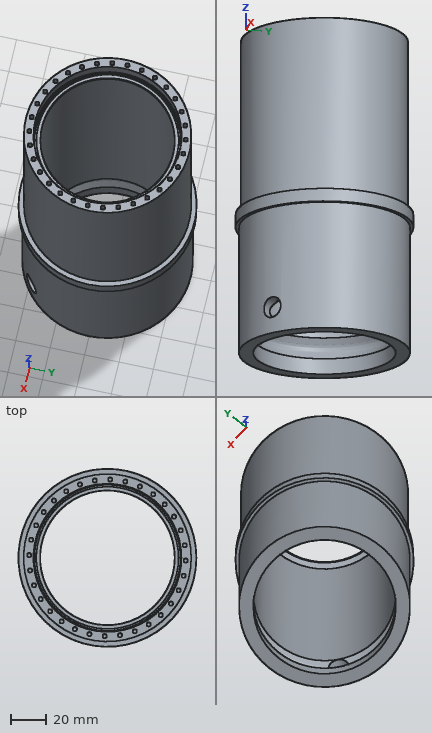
import cadquery as cq
import math

total_height = 184.34
lower_radius = 48.5
collar_radius = 50.5
upper_radius = 47.5
collar_bottom = 74.5
collar_top = 82.0

bore_radius = 40.4
cone_tilt = math.radians(30)

lip_radius = 38.1
lip_depth = 7.3
lip_thickness = 1.4
land_radius = 40.3
channel_depth = 8.3
channel_radius = 41.4

counterbore_radius = 42.0
bevel = counterbore_radius - channel_radius

groove_radius = 43.1
groove_floor_height = 1.9
groove_fillet_radius = 2.7
groove_fillet_sweep = math.radians(45)

rim_hole_count = 32
rim_hole_diameter = 2.4
rim_hole_depth = 6.0
rim_hole_point_angle = math.radians(118)
rim_hole_circle_radius = 44.4
rim_hole_start_angle = -2.0

side_hole_diameter = 12.0
side_hole_height = 15.3
side_hole_angle = -51.0


def body():
    """Stack of lower sleeve, collar and upper sleeve, without its bore."""
    return (
        cq.Workplane("XY")
        .circle(lower_radius)
        .extrude(collar_bottom)
        .faces(">Z")
        .workplane()
        .circle(collar_radius)
        .extrude(collar_top - collar_bottom)
        .faces(">Z")
        .workplane()
        .circle(upper_radius)
        .extrude(total_height - collar_top)
    )


def bore():
    """Everything open along the axis: main bore, conical lip underside, channel and counterbore."""
    lip_top = total_height - lip_depth
    lip_bottom = lip_top - lip_thickness
    cone_bottom = lip_bottom - (bore_radius - lip_radius) / math.tan(cone_tilt)
    channel_floor = total_height - channel_depth
    profile = [
        (0, 0),
        (bore_radius, 0),
        (bore_radius, cone_bottom),
        (lip_radius, lip_bottom),
        (lip_radius, lip_top),
        (land_radius, lip_top),
        (land_radius, channel_floor),
        (channel_radius, channel_floor),
        (counterbore_radius, channel_floor + bevel),
        (counterbore_radius, total_height),
        (0, total_height),
    ]
    return cq.Workplane("XZ").polyline(profile).close().revolve(360, (0, 0, 0), (0, 1, 0))


def groove():
    """Ring groove with a flat floor, rounded corners and conical flanks, symmetric in height."""

    def fillet_point(angle):
        radius = groove_radius - groove_fillet_radius * (1 - math.cos(angle))
        rise = groove_floor_height / 2 + groove_fillet_radius * math.sin(angle)
        return radius, rise

    def above(point):
        return point[0], side_hole_height + point[1]

    def below(point):
        return point[0], side_hole_height - point[1]

    floor_edge = fillet_point(0)
    fillet_middle = fillet_point(groove_fillet_sweep / 2)
    fillet_end = fillet_point(groove_fillet_sweep)
    flank_rise = (fillet_end[0] - bore_radius) / math.tan(cone_tilt)
    mouth = (bore_radius, fillet_end[1] + flank_rise)
    return (
        cq.Workplane("XZ")
        .moveTo(*below(mouth))
        .lineTo(*below(fillet_end))
        .threePointArc(below(fillet_middle), below(floor_edge))
        .lineTo(*above(floor_edge))
        .threePointArc(above(fillet_middle), above(fillet_end))
        .lineTo(*above(mouth))
        .close()
        .revolve(360, (0, 0, 0), (0, 1, 0))
    )


def rim_holes():
    """Ring of blind drilled holes sunk from the top face, each ending in a conical point."""
    radius = rim_hole_diameter / 2
    point_length = radius / math.tan(rim_hole_point_angle / 2)
    half_section = [
        (0, 0),
        (radius, 0),
        (radius, -rim_hole_depth),
        (0, -rim_hole_depth - point_length),
    ]
    drill = cq.Workplane("XZ").polyline(half_section).close().revolve(360, (0, 0, 0), (0, 1, 0)).val()
    return (
        cq.Workplane("XY")
        .workplane(offset=total_height)
        .polarArray(rim_hole_circle_radius, rim_hole_start_angle, 360, rim_hole_count)
        .eachpoint(lambda place: drill.moved(place), combine=False)
    )


def side_hole():
    """Radial hole from the axis out past the lower sleeve, into the ring groove."""
    return (
        cq.Workplane("YZ")
        .center(0, side_hole_height)
        .circle(side_hole_diameter / 2)
        .extrude(collar_radius)
        .rotate((0, 0, 0), (0, 0, 1), side_hole_angle)
    )


result = body().cut(bore()).cut(groove()).cut(rim_holes()).cut(side_hole()).solids()